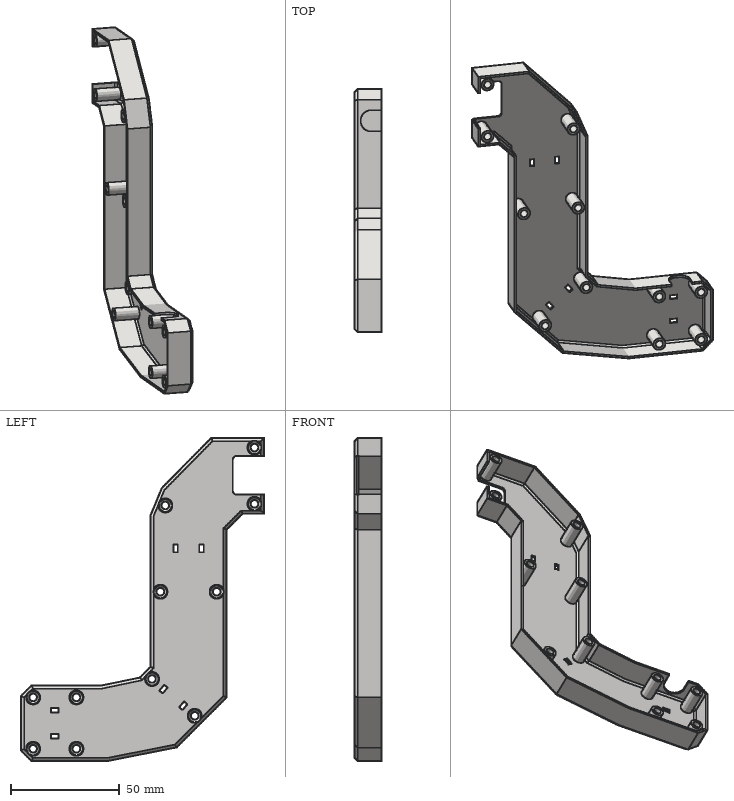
import cadquery as cq
import math

depth = 12.5
length_y = 112.5
height_z = 149.4
wall = 1.0
edge_chamfer = 1.5
cavity_chamfer = edge_chamfer - (2 - math.sqrt(2)) * wall

foot_height = 35.0
foot_corner = 5.0

column_front = 17.3
column_back = 52.6

head_underside = 114.3
head_top_length = 24.5

notch_bottom = 123.3
notch_top = 141.0
notch_depth = 14.5
notch_corner_radius = 1.8

cable_width = 9.9
cable_y = 97.7
cable_reach = 9.7

screw_diameter = 3.5
sink_diameter = 6.5
sink_depth = 1.5
sink_taper = math.degrees(math.atan((sink_diameter - screw_diameter) / 2 / sink_depth))
boss_diameter = 5.8
screw_inset = 4.5
screw_span = 26.0
foot_screw_ys = (86.8, 106.8)
foot_screw_zs = (5.7, 29.5)
column_screw_y = 22.0
column_screw_z = 78.3
head_screw_top = 144.9

slot_width = 2.0
slot_length = 3.5
slot_spacing = 12.0
slot_pairs = [
    (35.0, 98.3, 0),
    (42.0, 29.5, 40),
    (96.8, 17.5, 90),
]

outline = [
    (0, height_z),
    (head_top_length, height_z),
    (47.4, 126.2),
    (column_back, 113.5),
    (column_back, 43.6),
    (57.4, 38.7),
    (75.5, foot_height),
    (length_y - foot_corner, foot_height),
    (length_y, foot_height - foot_corner),
    (length_y, foot_corner),
    (length_y - foot_corner, 0),
    (72.2, 0),
    (40.5, 6.3),
    (column_front, 29.5),
    (column_front, 107.0),
    (10.0, head_underside),
    (0, head_underside),
]

screw_points = [(y, z) for y in foot_screw_ys for z in foot_screw_zs]
screw_points += [
    (51.8, 38.0),
    (32.1, 20.9),
    (column_screw_y, column_screw_z),
    (column_screw_y + screw_span, column_screw_z),
    (45.7, 118.2),
    (screw_inset, head_screw_top),
    (screw_inset, head_screw_top - screw_span),
]


def at_x(x):
    """Sketch plane across the part at the given X, with local axes Y and Z."""
    return cq.Workplane("YZ", origin=(x, 0, 0))


def shell():
    body = at_x(0).polyline(outline).close().extrude(depth)
    body = body.faces("<X").chamfer(edge_chamfer)
    cavity = at_x(wall).polyline(outline).close().offset2D(-wall, "intersection").extrude(depth)
    cavity = cavity.faces("<X").chamfer(cavity_chamfer)
    return body.cut(cavity)


def bosses():
    root = wall / 2
    posts = at_x(root).pushPoints(screw_points).circle(boss_diameter / 2)
    return posts.extrude(depth - root)


def drill_screw_holes(body):
    bores = at_x(0).pushPoints(screw_points).circle(screw_diameter / 2).extrude(depth)
    sinks = at_x(0).pushPoints(screw_points).circle(sink_diameter / 2)
    sinks = sinks.extrude(sink_depth, taper=sink_taper)
    return body.cut(bores).cut(sinks)


def connector_notch():
    notch = at_x(0).center(0, (notch_bottom + notch_top) / 2)
    notch = notch.rect(2 * notch_depth, notch_top - notch_bottom).extrude(depth)
    return notch.edges("|X").fillet(notch_corner_radius)


def cable_opening():
    """U-shaped cut with its round end toward the plate and its open end at the rim."""
    radius = cable_width / 2
    center_x = depth - cable_reach + radius
    floor = foot_height - 2 * wall
    base = cq.Workplane("XY", origin=(center_x, cable_y, floor))
    round_end = base.circle(radius).extrude(2 * wall)
    straight = base.rect(cable_reach, cable_width).extrude(2 * wall)
    return round_end.union(straight.translate((cable_reach / 2, 0, 0)))


def slot_pair(center_y, center_z, angle):
    """Two slots side by side, the row turned by angle from +Y toward +Z."""
    pair = at_x(0).center(center_y, center_z).transformed(rotate=(0, 0, angle))
    pair = pair.rarray(slot_spacing, 1.5, 2, 1).rect(slot_width, slot_length)
    return pair.extrude(wall)


result = shell().union(bosses())
result = drill_screw_holes(result)
result = result.cut(connector_notch())
result = result.cut(cable_opening())
for center_y, center_z, angle in slot_pairs:
    result = result.cut(slot_pair(center_y, center_z, angle))